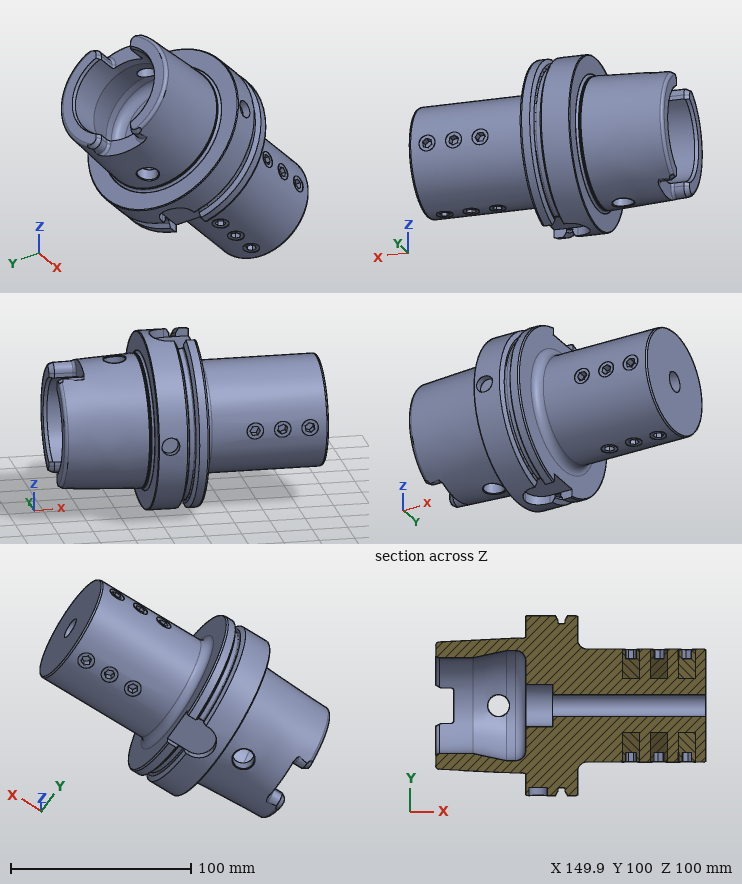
import cadquery as cq
import math


arc_sag_ratio = 1 - math.sqrt(0.5)

shank_length = 49.9
taper_half_slope = 0.05
taper_end_x = -2.7
taper_end_radius = 37.7
taper_start_radius = taper_end_radius - taper_half_slope * (shank_length + taper_end_x)
shank_edge_round = 1.8
relief_radius = 37.4
relief_start_x = -2.2
relief_end_x = -1.7
neck_radius = 37.6
neck_x = -1.2
neck_fillet = 1.4
face_recess_depth = neck_x + neck_fillet

flange_radius = 50.0
flange_length = 29.0
flange_front_chamfer = 0.5
rim_bevel_length = 1.0
rim_bevel_height = 0.5

groove_center_x = 19.9
groove_mouth_half = 3.4
groove_slope_angle = 30.0
groove_slot_half = 1.85
groove_floor_radius = 45.6
groove_floor_round = 0.6
groove_slope_depth = (groove_mouth_half - groove_slot_half) / math.tan(math.radians(groove_slope_angle))

nose_radius = 31.5
nose_end_x = 100.0
nose_fillet = 5.0

bore_radius = 26.5
bore_mouth_bevel_length = 2.0
bore_mouth_bevel_height = 0.8
bore_lip_x = -29.3
bore_chamber_x = -10.7
bore_chamber_radius = 30.5
bore_floor_radius = 25.0
bore_floor_fillet = bore_chamber_radius - bore_floor_radius
bore_floor_x = 0.0
socket_radius = 12.0
socket_depth = 15.0
socket_chamfer = 0.3
passage_radius = 6.0

notch_half_width = 9.8
notch_corner_radius = 5.0
notch_corner_z = 27.0
notch_inner_z = 18.0
notch_outer_reach = 15.0
notch_floor_fillet = 1.6
notch_bevel_length = 2.9
notch_bevel_width = 1.6
upper_notch_depth = 15.0
lower_notch_depth = 10.0

keyway_start_x = 5.0
keyway_floor_z = 44.0
keyway_corner_radius = 9.9
upper_keyway_width = 22.0
lower_keyway_width = 20.0

cross_hole_x = -15.0
cross_hole_diameter = 12.0
cross_hole_chamfer = 0.5
chip_hole_x = 7.0
chip_hole_diameter = 10.0
chip_hole_depth = 4.5

screw_pitch = 15.5
screws_per_row = 3
last_screw_x = nose_end_x - 10.5
first_screw_x = last_screw_x - (screws_per_row - 1) * screw_pitch
screw_diameter = 9.3
screw_length = 16.0
screw_top_radius = 31.1
screw_hex_flats = 5.0
screw_hex_depth = 5.0
screw_twist = 20.0
screw_row_angles = [0, 90, 180]


def body_of_revolution():
    """Outer shape of the holder, turned about X."""
    groove_left = groove_center_x - groove_mouth_half
    groove_right = groove_center_x + groove_mouth_half
    slot_left = groove_center_x - groove_slot_half
    slot_right = groove_center_x + groove_slot_half
    slot_top_radius = flange_radius - groove_slope_depth
    slot_round_radius = groove_floor_radius + groove_floor_round
    round_sag = shank_edge_round * arc_sag_ratio
    floor_sag = groove_floor_round * arc_sag_ratio
    neck_sag = neck_fillet * arc_sag_ratio
    nose_sag = nose_fillet * arc_sag_ratio
    profile = (
        cq.Workplane("XY")
        .moveTo(-shank_length, 0)
        .lineTo(-shank_length, taper_start_radius - shank_edge_round)
        .threePointArc(
            (-shank_length + round_sag, taper_start_radius - round_sag),
            (-shank_length + shank_edge_round, taper_start_radius + taper_half_slope * shank_edge_round),
        )
        .lineTo(taper_end_x, taper_end_radius)
        .lineTo(relief_start_x, relief_radius)
        .lineTo(relief_end_x, relief_radius)
        .lineTo(neck_x, neck_radius)
        .threePointArc(
            (face_recess_depth - neck_sag, neck_radius + neck_sag),
            (face_recess_depth, neck_radius + neck_fillet),
        )
        .lineTo(0, neck_radius + neck_fillet + face_recess_depth)
        .lineTo(0, flange_radius - flange_front_chamfer)
        .lineTo(flange_front_chamfer, flange_radius)
        .lineTo(groove_left, flange_radius)
        .lineTo(slot_left, slot_top_radius)
        .lineTo(slot_left, slot_round_radius)
        .threePointArc(
            (slot_left + floor_sag, groove_floor_radius + floor_sag),
            (slot_left + groove_floor_round, groove_floor_radius),
        )
        .lineTo(slot_right - groove_floor_round, groove_floor_radius)
        .threePointArc(
            (slot_right - floor_sag, groove_floor_radius + floor_sag),
            (slot_right, slot_round_radius),
        )
        .lineTo(slot_right, slot_top_radius)
        .lineTo(groove_right, flange_radius)
        .lineTo(flange_length - rim_bevel_length, flange_radius)
        .lineTo(flange_length, flange_radius - rim_bevel_height)
        .lineTo(flange_length, nose_radius + nose_fillet)
        .threePointArc(
            (flange_length + nose_sag, nose_radius + nose_sag),
            (flange_length + nose_fillet, nose_radius),
        )
        .lineTo(nose_end_x - rim_bevel_length, nose_radius)
        .lineTo(nose_end_x, nose_radius - rim_bevel_height)
        .lineTo(nose_end_x, 0)
        .close()
    )
    return profile.revolve(360, (0, 0, 0), (1, 0, 0))


def bore_cutter():
    """Shank bore, the socket in its floor and the passage through to the nose end."""
    fillet_sag = bore_floor_fillet * arc_sag_ratio
    socket_end_x = bore_floor_x + socket_depth
    profile = (
        cq.Workplane("XY")
        .moveTo(-shank_length, 0)
        .lineTo(-shank_length, bore_radius + bore_mouth_bevel_height)
        .lineTo(-shank_length + bore_mouth_bevel_length, bore_radius)
        .lineTo(bore_lip_x, bore_radius)
        .lineTo(bore_chamber_x, bore_chamber_radius)
        .lineTo(bore_floor_x - bore_floor_fillet, bore_chamber_radius)
        .threePointArc(
            (bore_floor_x - fillet_sag, bore_chamber_radius - fillet_sag),
            (bore_floor_x, bore_floor_radius),
        )
        .lineTo(bore_floor_x, socket_radius)
        .lineTo(bore_floor_x + socket_chamfer, socket_radius - socket_chamfer)
        .lineTo(socket_end_x, socket_radius - socket_chamfer)
        .lineTo(socket_end_x, passage_radius)
        .lineTo(nose_end_x, passage_radius)
        .lineTo(nose_end_x, 0)
        .close()
    )
    return profile.revolve(360, (0, 0, 0), (1, 0, 0))


def notch_prism(x, length, taper=0):
    """Prism of the notch section from x toward -X: straight walls that flare over round tooth corners."""
    center_y = notch_half_width + notch_corner_radius
    flare_angle = math.atan2(notch_corner_z, center_y)
    flare_middle_angle = (math.pi + flare_angle) / 2

    def corner_point(angle, radius, side):
        return side * (center_y + radius * math.cos(angle)), notch_corner_z + radius * math.sin(angle)

    middle_right, middle_left = [corner_point(flare_middle_angle, notch_corner_radius, s) for s in (1, -1)]
    end_right, end_left = [corner_point(flare_angle, notch_corner_radius, s) for s in (1, -1)]
    outer_right, outer_left = [corner_point(flare_angle, notch_outer_reach, s) for s in (1, -1)]
    return (
        cq.Workplane("YZ", origin=(x, 0, 0))
        .moveTo(-notch_half_width, notch_inner_z)
        .lineTo(notch_half_width, notch_inner_z)
        .lineTo(notch_half_width, notch_corner_z)
        .threePointArc(middle_right, end_right)
        .lineTo(*outer_right)
        .lineTo(*outer_left)
        .lineTo(*end_left)
        .threePointArc(middle_left, (-notch_half_width, notch_corner_z))
        .close()
        .extrude(-length, taper=taper)
    )


def notch_cutter(depth):
    """Notch with a filleted floor and a bevelled mouth, at the +Z side."""
    slot = notch_prism(-shank_length + depth, depth).faces(">X").edges().fillet(notch_floor_fillet)
    bevel_angle = math.degrees(math.atan2(notch_bevel_width, notch_bevel_length))
    mouth = notch_prism(-shank_length + notch_bevel_length, notch_bevel_length, -bevel_angle)
    return slot.union(mouth)


def keyway_cutter(width):
    """Keyway with rounded inner corners, open toward +X, at the +Z side."""
    length = flange_length - keyway_start_x
    return (
        cq.Workplane("XY", origin=(0, 0, keyway_floor_z))
        .center(keyway_start_x + length / 2, 0)
        .rect(length, width)
        .extrude(flange_radius - keyway_floor_z)
        .edges("|Z and <X")
        .fillet(keyway_corner_radius)
    )


def half_turn(shape):
    """The shape moved from the +Z side to the -Z side."""
    return shape.rotate((0, 0, 0), (1, 0, 0), 180)


def screw_places():
    """Position along X, angle about X and hexagon twist of every set screw."""
    for angle in screw_row_angles:
        for index in range(screws_per_row):
            yield first_screw_x + index * screw_pitch, angle, index * screw_twist


def radial_cylinder(x, angle, outer_radius, length):
    """Cylinder of the screw diameter that points inward from outer_radius."""
    cylinder = (
        cq.Workplane("XZ", origin=(x, -outer_radius, 0))
        .circle(screw_diameter / 2)
        .extrude(-length)
    )
    return cylinder.rotate((0, 0, 0), (1, 0, 0), angle)


def set_screw(x, angle, twist):
    """Set screw with a hexagon socket in its outer end."""
    hexagon_diameter = screw_hex_flats / math.cos(math.radians(30))
    socket = (
        cq.Workplane("XZ", origin=(x, -screw_top_radius, 0))
        .transformed(rotate=(0, 0, twist))
        .polygon(6, hexagon_diameter)
        .extrude(-screw_hex_depth)
        .rotate((0, 0, 0), (1, 0, 0), angle)
    )
    return radial_cylinder(x, angle, screw_top_radius, screw_length).cut(socket)


def cut_cross_hole(holder):
    """Hole along Z through both walls of the shank, chamfered at its two outer rims."""
    hole = (
        cq.Workplane("XY", origin=(cross_hole_x, 0, 0))
        .circle(cross_hole_diameter / 2)
        .extrude(flange_radius, both=True)
    )
    holder = holder.cut(hole)
    for side in (1, -1):
        rim_zone = cq.selectors.BoxSelector(
            (cross_hole_x - cross_hole_diameter, -cross_hole_diameter, side * bore_chamber_radius),
            (cross_hole_x + cross_hole_diameter, cross_hole_diameter, side * flange_radius),
        )
        holder = holder.edges(rim_zone).edges("%BSPLINE").chamfer(cross_hole_chamfer)
    return holder


def chip_hole_cutter():
    """Blind hole for a data chip in the -Y side of the flange."""
    return (
        cq.Workplane("XZ", origin=(chip_hole_x, -flange_radius, 0))
        .circle(chip_hole_diameter / 2)
        .extrude(-chip_hole_depth)
    )


def holder_body():
    """The complete holder, with a blind hole for every set screw."""
    holder = body_of_revolution().cut(bore_cutter())
    holder = holder.cut(notch_cutter(upper_notch_depth))
    holder = holder.cut(half_turn(notch_cutter(lower_notch_depth)))
    holder = holder.cut(keyway_cutter(upper_keyway_width))
    holder = holder.cut(half_turn(keyway_cutter(lower_keyway_width)))
    holder = cut_cross_hole(holder)
    holder = holder.cut(chip_hole_cutter())
    screw_hole_depth = nose_radius - screw_top_radius + screw_length
    for x, angle, _ in screw_places():
        holder = holder.cut(radial_cylinder(x, angle, nose_radius, screw_hole_depth))
    return holder


holder = holder_body()
set_screws = [set_screw(*place) for place in screw_places()]

result = cq.Compound.makeCompound([holder.val(), *[screw.val() for screw in set_screws]])